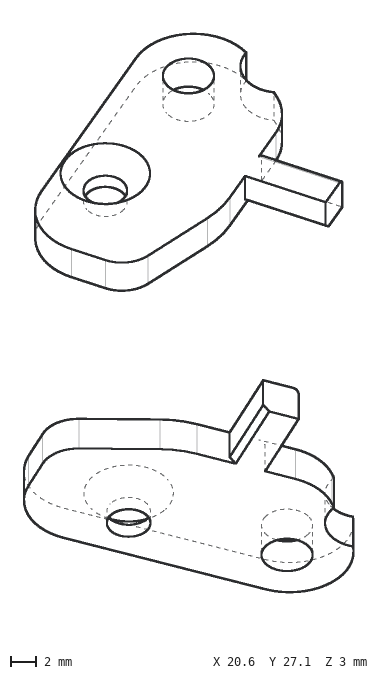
import cadquery as cq
import math

length = 27.05
body_width = 13.6
thickness = 3.0
large_radius = 5.0

slant_bottom_x = 10.0
slant_top_y = 9.22
lower_corner_radius = 3.0
slant_blend_radius = 8.0

shoulder_center_y = 19.05
notch_x = 10.5
notch_y = 26.05
notch_radius = 3.0

overall_width = 20.6
tang_bottom_y = 13.5
tang_width = 3.0
tang_round = 0.51
tang_chamfer = 0.51

plain_hole_x = 4.6
plain_hole_y = 22.0
plain_hole_diameter = 4.0
screw_x = 3.62
screw_y = 9.0
screw_diameter = 3.4
countersink_diameter = 7.0
countersink_angle = 90.0


def make_plate():
    """Plate outline whose top follows two equal arcs joined by their common tangent."""
    left_center = (large_radius, length - large_radius)
    right_center = (body_width - large_radius, shoulder_center_y)
    drop = left_center[1] - right_center[1]
    run = right_center[0] - left_center[0]
    tangent_normal = math.atan2(run, drop)

    def on_arc(center, angle):
        return (
            center[0] + large_radius * math.cos(angle),
            center[1] + large_radius * math.sin(angle),
        )

    plate = (
        cq.Workplane("XY")
        .moveTo(0, 0)
        .lineTo(slant_bottom_x, 0)
        .lineTo(body_width, slant_top_y)
        .lineTo(body_width, shoulder_center_y)
        .threePointArc(on_arc(right_center, tangent_normal / 2), on_arc(right_center, tangent_normal))
        .lineTo(*on_arc(left_center, tangent_normal))
        .threePointArc(on_arc(left_center, (tangent_normal + math.pi) / 2), on_arc(left_center, math.pi))
        .close()
        .extrude(thickness)
    )
    corner_radii = [
        ((0, 0), large_radius),
        ((slant_bottom_x, 0), lower_corner_radius),
        ((body_width, slant_top_y), slant_blend_radius),
    ]
    for (x, y), radius in corner_radii:
        corner = cq.selectors.NearestToPointSelector((x, y, thickness / 2))
        plate = plate.edges("|Z").edges(corner).fillet(radius)
    return plate


def make_tang():
    """Square bar with its upper rear edge rounded and its lower front edge chamfered."""
    bar_length = overall_width - body_width
    bar = cq.Workplane("XY").box(bar_length, tang_width, thickness, centered=False)
    bar = bar.edges("|X and >Y and >Z").fillet(tang_round)
    bar = bar.edges("|X and <Y and <Z").chamfer(tang_chamfer)
    return bar.translate((body_width, tang_bottom_y, 0))


notch = cq.Workplane("XY").center(notch_x, notch_y).circle(notch_radius).extrude(thickness)
top_plane = cq.Workplane("XY", origin=(0, 0, thickness))

result = make_plate().cut(notch).union(make_tang())
result = result.copyWorkplane(top_plane).pushPoints([(plain_hole_x, plain_hole_y)]).hole(plain_hole_diameter)
result = (
    result.copyWorkplane(top_plane)
    .pushPoints([(screw_x, screw_y)])
    .cskHole(screw_diameter, countersink_diameter, countersink_angle)
)